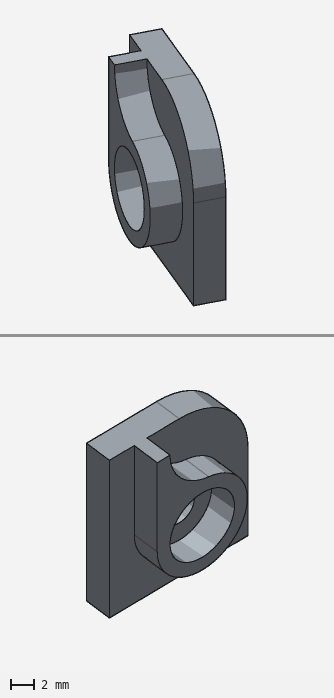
import cadquery as cq
import math

width = 16.13
height = 18.39
plate_thickness = 3.0

boss_height = 3.0
boss_radius = 5.25
bore_diameter = 7.5
bore_depth = boss_height
hole_diameter = 3.5
hole_x = 8.13
hole_z = 8.0

corner_radius = width - hole_x

web_left = hole_x - boss_radius
web_right = hole_x - bore_diameter / 2

plate_front = -plate_thickness
boss_front = plate_front - boss_height


def front_plane(y):
    """XZ workplane at the given Y, facing -Y."""
    return cq.Workplane("XZ", origin=(0, y, 0))


def make_plate():
    blank = front_plane(0).rect(width, height, centered=False).extrude(plate_thickness)
    return blank.edges("|Y and >X and >Z").fillet(corner_radius)


def make_boss():
    rise = height - hole_z
    offset = hole_x - web_right
    flank_radius = (rise**2 + offset**2 - boss_radius**2) / (2 * (offset + boss_radius))
    flank_x = web_right + flank_radius
    ratio = boss_radius / (boss_radius + flank_radius)
    tangent_x = hole_x + ratio * (flank_x - hole_x)
    tangent_z = hole_z + ratio * rise

    half_angle = math.atan2(height - tangent_z, flank_x - tangent_x) / 2
    flank_middle = (
        flank_x - flank_radius * math.cos(half_angle),
        height - flank_radius * math.sin(half_angle),
    )

    return (
        front_plane(plate_front)
        .moveTo(web_left, height)
        .lineTo(web_right, height)
        .threePointArc(flank_middle, (tangent_x, tangent_z))
        .threePointArc((hole_x, hole_z - boss_radius), (web_left, hole_z))
        .close()
        .extrude(boss_height)
    )


def make_cylinder(diameter, depth):
    """Cutter on the hole axis, running back from the boss face."""
    return front_plane(boss_front).center(hole_x, hole_z).circle(diameter / 2).extrude(-depth)


bore = make_cylinder(bore_diameter, bore_depth)
through_hole = make_cylinder(hole_diameter, boss_height + plate_thickness)

result = make_plate().union(make_boss()).cut(bore).cut(through_hole)